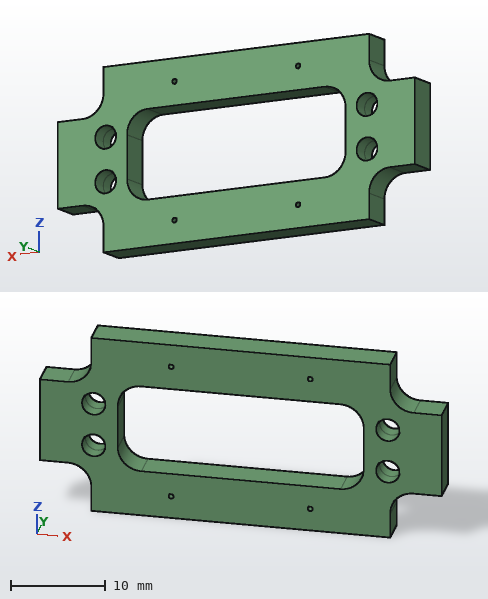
import cadquery as cq

length = 43.45
thickness = 3.3
body_length = 32.3
body_height = 20.05
ear_height = 9.4
ear_fillet_radius = 2.5

window_length = 26.6
window_height = 9.8
window_corner_radius = 2.5

mount_hole_diameter = 2.5
mount_spacing_x = 31.8
mount_spacing_z = 4.8
pin_hole_diameter = 0.5
pin_spacing = 15.03


def block(size_x, size_z):
    """Full-thickness block centred on the origin."""
    return cq.Workplane("XY").box(size_x, thickness, size_z)


def hole_pattern(diameter, spacing_x, spacing_z):
    """Four cylinders along Y at the corners of a centred rectangle."""
    return (
        cq.Workplane("XZ")
        .rarray(spacing_x, spacing_z, 2, 2)
        .circle(diameter / 2)
        .extrude(thickness, both=True)
    )


def make_plate():
    """Body and ears, with the inner corners between them filleted."""
    plate = block(body_length, body_height).union(block(length, ear_height))
    margin = 0.45
    inner_corners = cq.selectors.BoxSelector(
        (-body_length / 2 - margin, -thickness, -ear_height / 2 - margin),
        (body_length / 2 + margin, thickness, ear_height / 2 + margin),
    )
    return plate.edges(inner_corners).edges("|Y").fillet(ear_fillet_radius)


window = block(window_length, window_height).edges("|Y").fillet(window_corner_radius)

result = (
    make_plate()
    .cut(window)
    .cut(hole_pattern(mount_hole_diameter, mount_spacing_x, mount_spacing_z))
    .cut(hole_pattern(pin_hole_diameter, pin_spacing, pin_spacing))
)